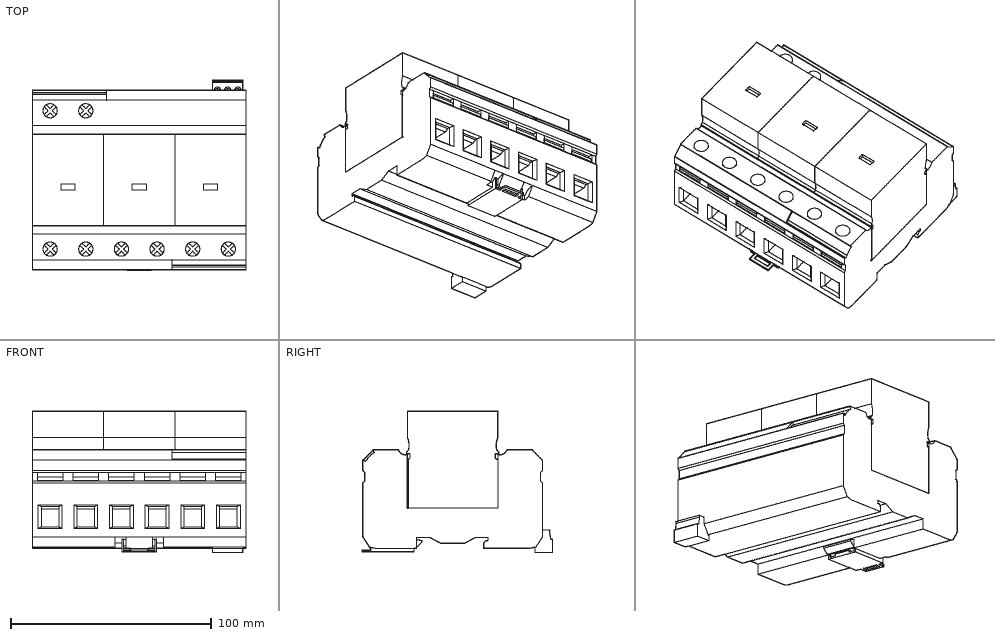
import cadquery as cq
import math


pole_count = 3
pole_pitch = 35.6
width = pole_count * pole_pitch
half_width = width / 2
terminals_per_pole = 2
terminal_pitch = pole_pitch / terminals_per_pole

housing_depth = 89.8
half_depth = housing_depth / 2
housing_bottom_z = 2.15
shoulder_z = 51.5
top_z = 70.75

underside_flat_inset = 7.3
bottom_edge_inset = 3.2
bottom_edge_z = 2.95
bottom_chamfer_top_z = 7.9
groove_bottom_z = 34.8
groove_top_z = 41.0
groove_depth = 0.9
strip_start_z = 46.4
strip_start_inset = 0.25
strip_end_inset = 5.0
strip_rise = strip_end_inset - strip_start_inset
shelf_z = 48.95
shoulder_inner_y = 27.1
shelf_outer_y = 23.7

bay_half_depth = 22.65
bay_floor_z = 22.2
cartridge_gap = 0.1
cartridge_width = pole_pitch - cartridge_gap
cartridge_front_clearance = 0.4
waist_top_z = 57.4
waist_middle_z = 53.7
waist_depth = 0.85
waist_bottom_z = 51.3
waist_bottom_depth = 0.55
lip_top_z = 50.2
lip_bottom_z = 49.4
lip_overhang = 0.4
finger_gap_depth = 1.25
finger_gap_bottom_z = 46.75
finger_gap_chamfer = 0.5
window_width = 7.2
window_length = 2.9
window_depth = 2.0
window_y = -3.5

rail_floor_z = 7.5
rail_front_y = -18.0
rail_rear_y = 15.5
hook_depth_y = 17.6
hook_top_z = 6.05
hook_tip_z = 4.9
hook_slope = 1.1
belly_foot_half = 11.35
belly_flat_half = 6.0
belly_z = 4.65

label_length = 36.95
channel_floor = [(5.9, 50.0), (4.4, 49.1), (2.1, 46.8), (2.3, 46.6), (1.3, 45.6)]

screw_diameter = 7.1
screw_inset = 10.35
screw_head_depth = 10.0
screw_slot_width = 1.5
screw_slot_depth = 1.2
rear_screw_count = 2
entry_size = 11.9
entry_bottom_z = 12.0
entry_side_taper = 1.6
entry_end_taper = 0.9
entry_taper_depth = 1.5
entry_step_start = 2.9
entry_step_end = 4.8
entry_step_drop = 1.1
entry_depth = 12.0

marker_width = 12.7
marker_bottom_z = 36.0
marker_ledge_z = 37.7
marker_top_z = 40.1
marker_lower_depth = 0.25
marker_upper_depth = 2.2

slider_width = 17.4
slider_wall = 0.9
slider_bottom_z = 0.37
slider_top_z = 7.7
slider_web_bottom_z = 3.4
slider_web_setback = 0.3
slider_rear_y = -19.2
slider_front_y = -41.0
slider_rib_width = 9.2
pull_tab_overhang = 0.4
pull_tab_width = 11.7
pull_tab_rim = 1.7
pull_hole_length = 2.5
latch_recess_width = 24.1
latch_recess_inset = 6.2
latch_recess_wall_z = 4.7
latch_ridge_width = 13.2
latch_nose_y = -15.4
latch_nose_top_z = 6.6
latch_nose_upper_z = 6.05
latch_nose_lower_z = 5.2
latch_nose_bottom_z = 2.6

plug_left_x = 36.55
plug_width = 15.2
plug_overhang = 5.0
plug_inset = 3.8
plug_step_z = 6.7
plug_top_z = 11.4
plug_ledge = 0.8
plug_neck_setback = 1.5
plug_neck_z = 10.5
plug_rim_setback = 1.2
plug_screw_count = 3
plug_screw_pitch = 5.1
plug_screw_diameter = 3.2
plug_screw_offset = 0.1
plug_screw_depth = 1.5
plug_slot_width = 0.8
plug_slot_depth = 0.6

terminal_xs = [
    -half_width + terminal_pitch * (i + 0.5)
    for i in range(pole_count * terminals_per_pole)
]
pole_xs = [-half_width + pole_pitch * (i + 0.5) for i in range(pole_count)]


def side_sketch(x_start):
    """Sketch plane across the poles: its local axes are Y and Z."""
    return cq.Workplane("YZ", origin=(x_start, 0, 0))


def extrude_side(points, x_start, length):
    """Prism of a closed Y-Z outline running along +X."""
    return side_sketch(x_start).polyline(points).close().extrude(length)


def box(x_range, y_range, z_range):
    """Box spanning three (low, high) ranges."""
    low, high = zip(x_range, y_range, z_range)
    size = [b - a for a, b in zip(low, high)]
    return cq.Workplane("XY").box(*size, centered=False).translate(low)


def half_housing():
    """Rear half of the housing, with the floor and rear wall of the cartridge bay."""
    rise = shoulder_z - shelf_z
    run = shoulder_inner_y - shelf_outer_y
    arc_radius = (rise**2 + run**2) / (2 * rise)
    half_sweep = math.atan2(run, arc_radius - rise) / 2
    arc_middle = (
        shelf_outer_y + arc_radius * math.sin(half_sweep),
        shelf_z + arc_radius * (1 - math.cos(half_sweep)),
    )
    return (
        side_sketch(-half_width)
        .moveTo(0, housing_bottom_z)
        .lineTo(half_depth - underside_flat_inset, housing_bottom_z)
        .tangentArcPoint((half_depth - bottom_edge_inset, bottom_edge_z), relative=False)
        .lineTo(half_depth, bottom_chamfer_top_z)
        .lineTo(half_depth, groove_bottom_z)
        .lineTo(half_depth - groove_depth, groove_bottom_z + groove_depth)
        .lineTo(half_depth - groove_depth, groove_top_z - groove_depth)
        .lineTo(half_depth, groove_top_z)
        .lineTo(half_depth, strip_start_z)
        .lineTo(half_depth - strip_start_inset, strip_start_z)
        .lineTo(half_depth - strip_end_inset, strip_start_z + strip_rise)
        .lineTo(half_depth - strip_end_inset, shoulder_z)
        .lineTo(shoulder_inner_y, shoulder_z)
        .threePointArc(arc_middle, (shelf_outer_y, shelf_z))
        .lineTo(bay_half_depth, shelf_z)
        .lineTo(bay_half_depth, bay_floor_z)
        .lineTo(0, bay_floor_z)
        .close()
        .extrude(width)
    )


def rail_seat():
    """Opening under the housing that takes the rail, with a fixed hook at the rear."""
    below = 0
    return extrude_side(
        [
            (rail_front_y, below),
            (rail_front_y, rail_floor_z),
            (-belly_foot_half, rail_floor_z),
            (-belly_flat_half, belly_z),
            (belly_flat_half, belly_z),
            (belly_foot_half, rail_floor_z),
            (hook_depth_y, rail_floor_z),
            (hook_depth_y, hook_top_z),
            (rail_rear_y + hook_slope, hook_top_z),
            (rail_rear_y, hook_tip_z),
            (rail_rear_y, below),
        ],
        -half_width,
        width,
    )


def front_label_channel():
    """Channel with a raised middle in the front strip, open at the +X end."""
    strip_end_z = strip_start_z + strip_rise
    inset_and_height = [
        (strip_end_inset, strip_end_z),
        *channel_floor,
        (strip_start_inset, strip_start_z),
        (strip_start_inset, strip_end_z),
    ]
    outline = [(inset - half_depth, z) for inset, z in inset_and_height]
    return extrude_side(outline, half_width - label_length, label_length)


def cartridge(x_center):
    """Plug-in module with waisted grips, lips and finger gaps on both ends."""
    rear = bay_half_depth
    rear_gap = rear - finger_gap_depth
    front_foot = cartridge_front_clearance - rear
    gap_slope_z = finger_gap_bottom_z + finger_gap_chamfer
    gap_slope_y = rear_gap + finger_gap_chamfer
    body = (
        side_sketch(x_center - cartridge_width / 2)
        .moveTo(-rear, top_z)
        .lineTo(rear, top_z)
        .lineTo(rear, waist_top_z)
        .threePointArc((rear - waist_depth, waist_middle_z), (rear - waist_bottom_depth, waist_bottom_z))
        .lineTo(rear + lip_overhang, lip_top_z)
        .lineTo(rear + lip_overhang, lip_bottom_z)
        .lineTo(rear_gap, lip_bottom_z)
        .lineTo(rear_gap, gap_slope_z)
        .lineTo(gap_slope_y, finger_gap_bottom_z)
        .lineTo(rear, finger_gap_bottom_z)
        .lineTo(rear, bay_floor_z)
        .lineTo(front_foot, bay_floor_z)
        .lineTo(front_foot, finger_gap_bottom_z)
        .lineTo(-gap_slope_y, finger_gap_bottom_z)
        .lineTo(-rear_gap, gap_slope_z)
        .lineTo(-rear_gap, lip_bottom_z)
        .lineTo(-rear - lip_overhang, lip_bottom_z)
        .lineTo(-rear - lip_overhang, lip_top_z)
        .lineTo(waist_bottom_depth - rear, waist_bottom_z)
        .threePointArc((waist_depth - rear, waist_middle_z), (-rear, waist_top_z))
        .close()
        .extrude(cartridge_width)
    )
    window = (
        cq.Workplane("XY", origin=(x_center, window_y, top_z))
        .rect(window_width, window_length)
        .extrude(-window_depth)
    )
    return body.cut(window)


def screw_well(x, y, z, diameter, depth, slot_width, slot_depth):
    """Round well down to a screw head with a diagonal cross slot."""
    well = cq.Workplane("XY", origin=(x, y, z)).circle(diameter / 2).extrude(-depth)
    floor = cq.Workplane("XY", origin=(x, y, z - depth))
    limit = floor.circle(diameter / 2).extrude(-slot_depth)
    cross = floor.rect(diameter, slot_width).extrude(-slot_depth)
    cross = cross.union(floor.rect(slot_width, diameter).extrude(-slot_depth))
    cross = cross.rotate((x, y, 0), (x, y, 1), 45).intersect(limit)
    return well.union(cross)


def wire_entry(x_center):
    """Square funnel in the front face, leading to a passage whose ceiling steps down."""
    entry_top_z = entry_bottom_z + entry_size
    middle_z = (entry_bottom_z + entry_top_z) / 2
    inner_width = entry_size - 2 * entry_side_taper
    floor_z = entry_bottom_z + entry_end_taper
    ceiling_z = entry_top_z - entry_end_taper
    funnel = (
        cq.Workplane("XZ", origin=(x_center, -half_depth, middle_z))
        .rect(entry_size, entry_size)
        .workplane(offset=-entry_taper_depth)
        .rect(inner_width, ceiling_z - floor_z)
        .loft()
    )
    passage = extrude_side(
        [
            (entry_taper_depth - half_depth, floor_z),
            (entry_depth - half_depth, floor_z),
            (entry_depth - half_depth, ceiling_z - entry_step_drop),
            (entry_step_end - half_depth, ceiling_z - entry_step_drop),
            (entry_step_start - half_depth, ceiling_z),
            (entry_taper_depth - half_depth, ceiling_z),
        ],
        x_center - inner_width / 2,
        inner_width,
    )
    return funnel.union(passage)


def marker_pocket(x_center):
    """Stepped pocket in the floor of the front groove."""
    groove_y = groove_depth - half_depth
    x_range = (x_center - marker_width / 2, x_center + marker_width / 2)
    lower = box(x_range, (groove_y, groove_y + marker_lower_depth), (marker_bottom_z, marker_ledge_z))
    upper = box(x_range, (groove_y, groove_y + marker_upper_depth), (marker_ledge_z, marker_top_z))
    return lower.union(upper)


def latch_recess():
    """Recess above the latch; its ceiling starts level at the front face and curves down."""
    front = -half_depth
    rise = bottom_chamfer_top_z - latch_recess_wall_z
    arc_radius = (latch_recess_inset**2 + rise**2) / (2 * rise)
    half_sweep = math.asin(latch_recess_inset / arc_radius) / 2
    arc_middle = (
        front + arc_radius * math.sin(half_sweep),
        bottom_chamfer_top_z - arc_radius * (1 - math.cos(half_sweep)),
    )
    return (
        side_sketch(-latch_recess_width / 2)
        .moveTo(front, bottom_chamfer_top_z)
        .threePointArc(arc_middle, (front + latch_recess_inset, latch_recess_wall_z))
        .lineTo(front + latch_recess_inset, 0)
        .lineTo(front, 0)
        .close()
        .extrude(latch_recess_width)
    )


def latch_ridge():
    """Solid ridge in the middle of the latch recess, its sloping face running to the underside."""
    chamfer_height = bottom_chamfer_top_z - bottom_edge_z
    foot_inset = bottom_edge_inset * (bottom_chamfer_top_z - housing_bottom_z) / chamfer_height
    return extrude_side(
        [
            (-half_depth, bottom_chamfer_top_z),
            (foot_inset - half_depth, housing_bottom_z),
            (underside_flat_inset - half_depth, housing_bottom_z),
            (underside_flat_inset - half_depth, bottom_chamfer_top_z),
        ],
        -latch_ridge_width / 2,
        latch_ridge_width,
    )


def latch_slider():
    """U-shaped slider under the front foot, with a pull tab and the wedge nose that grips the rail."""
    half = slider_width / 2
    plate_top_z = slider_bottom_z + slider_wall
    y_range = (slider_front_y, slider_rear_y)
    slider = box((-half, half), y_range, (slider_bottom_z, plate_top_z))
    for x in (-half, half - slider_wall):
        slider = slider.union(box((x, x + slider_wall), y_range, (slider_bottom_z, slider_top_z)))
    rib_x = (-slider_rib_width / 2, slider_rib_width / 2)
    rib_y = (slider_rear_y - slider_wall, slider_rear_y)
    slider = slider.union(box(rib_x, rib_y, (slider_bottom_z, housing_bottom_z)))

    web_y = (slider_front_y + slider_web_setback, slider_rear_y)
    slider = slider.union(box((-half, half), web_y, (slider_web_bottom_z, slider_top_z)))

    tip_y = -half_depth - pull_tab_overhang
    tab_half = pull_tab_width / 2
    z_range = (slider_bottom_z, plate_top_z)
    slider = slider.union(box((-tab_half, tab_half), (tip_y, slider_front_y), z_range))
    hole_half = tab_half - pull_tab_rim
    hole_front_y = tip_y + pull_tab_rim
    hole_y = (hole_front_y, hole_front_y + pull_hole_length)
    slider = slider.cut(box((-hole_half, hole_half), hole_y, z_range))
    nose = extrude_side(
        [
            (rail_front_y, latch_nose_top_z),
            (latch_nose_y, latch_nose_upper_z),
            (latch_nose_y, latch_nose_lower_z),
            (rail_front_y, latch_nose_bottom_z),
        ],
        -half,
        slider_width,
    )
    return slider, nose


def signal_plug():
    """Plug-in connector standing out of the lower rear edge."""
    rear_y = half_depth + plug_overhang
    plug = extrude_side(
        [
            (half_depth - plug_inset, 0),
            (rear_y, 0),
            (rear_y, plug_step_z),
            (rear_y - plug_ledge, plug_step_z),
            (rear_y - plug_neck_setback, plug_neck_z),
            (rear_y - plug_rim_setback, plug_top_z),
            (half_depth - plug_inset, plug_top_z),
        ],
        plug_left_x,
        plug_width,
    )
    middle_x = plug_left_x + plug_width / 2
    for i in range(plug_screw_count):
        x = middle_x + plug_screw_pitch * (i - (plug_screw_count - 1) / 2)
        plug = plug.cut(
            screw_well(
                x,
                half_depth - plug_screw_offset,
                plug_top_z,
                plug_screw_diameter,
                plug_screw_depth,
                plug_slot_width,
                plug_slot_depth,
            )
        )
    return plug


def terminal_screw(x, y):
    """Screw well in a shoulder of the housing."""
    return screw_well(
        x, y, shoulder_z, screw_diameter, screw_head_depth, screw_slot_width, screw_slot_depth
    )


rear_half = half_housing()
housing = rear_half.union(rear_half.mirror("XZ"))
housing = housing.cut(rail_seat())

front_channel = front_label_channel()
rear_channel = front_channel.rotate((0, 0, 0), (0, 0, 1), 180)
housing = housing.cut(front_channel).cut(rear_channel)

screw_y = half_depth - screw_inset
for terminal_x in terminal_xs:
    housing = housing.cut(terminal_screw(terminal_x, -screw_y))
    housing = housing.cut(wire_entry(terminal_x))
    housing = housing.cut(marker_pocket(terminal_x))
for terminal_x in terminal_xs[:rear_screw_count]:
    housing = housing.cut(terminal_screw(terminal_x, screw_y))
housing = housing.cut(latch_recess()).union(latch_ridge())

result = housing
for pole_x in pole_xs:
    result = result.union(cartridge(pole_x))
for attached in latch_slider():
    result = result.union(attached)
result = result.union(signal_plug())